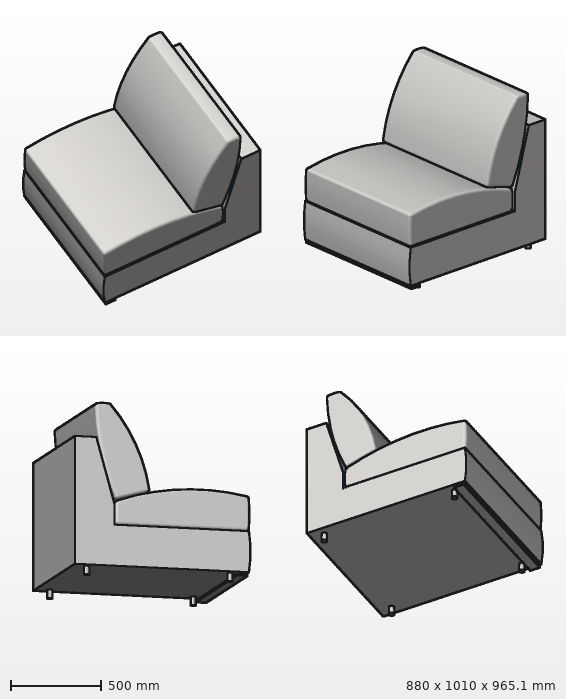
import cadquery as cq

width = 880.0
depth = 1010.0
leg_height = 47.0

ledge_height = 279.0
backrest_height = 768.0
backrest_top_depth = 123.0
backrest_foot_depth = 228.0
backrest_slope_start = 392.0
front_bulge = 9.0

edge_radius = 18.0
seat_rear_depth = 239.0
seat_rear_bulge = 6.0
seat_rear_height = 415.0
seat_crown_depth = 626.0
seat_crown_height = 500.0
seat_front_depth = 1003.0
seat_front_bulge = 5.0
seat_front_height = 476.0

back_bottom_rear = (240.0, 423.0)
back_bottom_front = (434.0, 476.0)
back_front_middle = (363.0, 723.0)
back_top_front = (206.0, 962.0)
back_top_middle = (164.0, 965.0)
back_top_rear = (119.0, 959.0)
back_rear_middle = (162.0, 646.0)

leg_diameter = 30.0
leg_side_inset = 54.0
leg_rear_depth = 82.0
leg_front_depth = 906.0

bar_length = 877.0
bar_rear_depth = 931.0
bar_front_depth = 993.0
bar_bottom = 26.0
bar_thickness = 9.0


def at(distance, height):
    """Point of a side profile, given its distance from the rear plane and its height."""
    return (-distance, height)


def make_base():
    front_corner = depth - front_bulge
    front_middle_height = (leg_height + ledge_height) / 2
    return (
        cq.Workplane("YZ")
        .moveTo(*at(0, leg_height))
        .lineTo(*at(front_corner, leg_height))
        .threePointArc(at(depth, front_middle_height), at(front_corner, ledge_height))
        .lineTo(*at(backrest_foot_depth, ledge_height))
        .lineTo(*at(backrest_foot_depth, backrest_slope_start))
        .lineTo(*at(backrest_top_depth, backrest_height))
        .lineTo(*at(0, backrest_height))
        .close()
        .extrude(width)
    )


def make_seat_cushion():
    rear_middle = at(seat_rear_depth - seat_rear_bulge, (ledge_height + seat_rear_height) / 2)
    front_middle = at(seat_front_depth + seat_front_bulge, (ledge_height + seat_front_height) / 2)
    return (
        cq.Workplane("YZ")
        .moveTo(*at(seat_rear_depth, ledge_height))
        .lineTo(*at(seat_front_depth, ledge_height))
        .threePointArc(front_middle, at(seat_front_depth, seat_front_height))
        .threePointArc(at(seat_crown_depth, seat_crown_height), at(seat_rear_depth, seat_rear_height))
        .threePointArc(rear_middle, at(seat_rear_depth, ledge_height))
        .close()
        .extrude(width)
        .edges()
        .fillet(edge_radius)
    )


def make_back_cushion():
    return (
        cq.Workplane("YZ")
        .moveTo(*at(*back_bottom_rear))
        .lineTo(*at(*back_bottom_front))
        .threePointArc(at(*back_front_middle), at(*back_top_front))
        .threePointArc(at(*back_top_middle), at(*back_top_rear))
        .threePointArc(at(*back_rear_middle), at(*back_bottom_rear))
        .close()
        .extrude(width)
        .edges()
        .fillet(edge_radius)
    )


def make_leg(side_position, rear_distance):
    return cq.Workplane("XY").center(side_position, -rear_distance).circle(leg_diameter / 2).extrude(leg_height)


def make_bar():
    bar_depth = bar_front_depth - bar_rear_depth
    return cq.Workplane("XY").box(bar_length, bar_depth, bar_thickness, centered=False).translate(
        (0, -bar_front_depth, bar_bottom)
    )


base = make_base()
seat_cushion = make_seat_cushion()
back_cushion = make_back_cushion()
bar = make_bar()

legs = []
for side_position in (leg_side_inset, width - leg_side_inset):
    for rear_distance in (leg_rear_depth, leg_front_depth):
        legs.append(make_leg(side_position, rear_distance).val())

result = cq.Compound.makeCompound(
    [base.val(), seat_cushion.val(), back_cushion.val(), bar.val(), *legs]
)